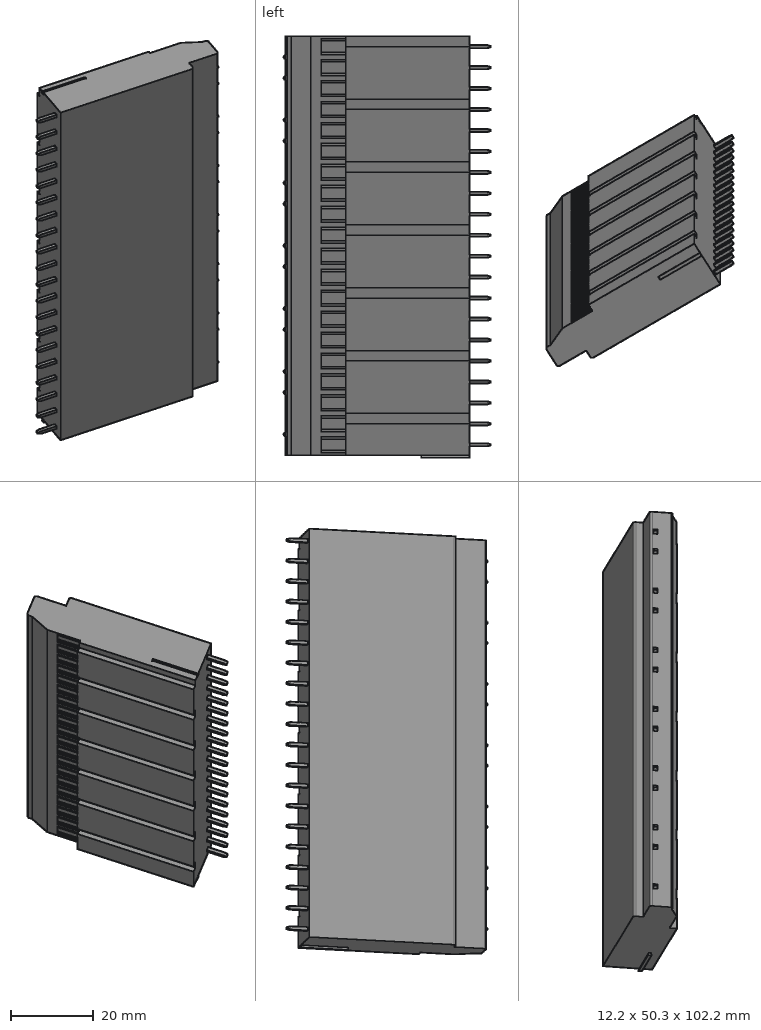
import cadquery as cq


POLE_COUNT = 20
TOTAL_HEIGHT = 102.2
KEY_HEIGHT = 0.6
BODY_HEIGHT = TOTAL_HEIGHT - KEY_HEIGHT
PITCH = BODY_HEIGHT / POLE_COUNT

PIN_LENGTH = 5.1
FRONT_Y = PIN_LENGTH
LENGTH = 50.3
BUMP_HEIGHT = 0.5
BACK_Y = LENGTH - BUMP_HEIGHT
DEPTH = 12.2
PLATE_END_Y = 35.2
WALL_X = 1.8
SLOPE_START_Y = 43.6
SLOPE_END_Y = 48.3
NECK_X = 4.0
BACK_STEP_X = 9.7
BACK_STEP_Y = 41.7
CORNER_RADIUS = 0.6
NECK_CHAMFER = 0.4

POLES_PER_GROUP = 3
GROOVE_DEPTH = 1.2
GROOVE_WIDTH = PITCH / 2

WINDOW_LENGTH = 5.9
WINDOW_MARGIN = 0.6
WINDOW_STEP = 0.56
OUTER_WINDOW_DEPTH = 0.1
INNER_WINDOW_DEPTH = 0.5

KEY_LENGTH = 11.8
KEY_X = 3.0
KEY_NECK_WIDTH = 0.5
KEY_BASE_WIDTH = 0.9

PIN_WIDTH = 0.9
PIN_THICKNESS = 0.8
PIN_X = 9.6
PIN_TIP_LENGTH = 0.8
PIN_TIP_WIDTH = 0.8
PIN_TIP_THICKNESS = 0.3
BUMP_X = 7.9
BUMP_WIDTH = 1.0
BUMP_BASE = 1.2


def box(x, y, z, size_x, size_y, size_z):
    """Box given by its lowest corner and its sizes."""
    return cq.Workplane("XY").box(size_x, size_y, size_z, centered=False).translate((x, y, z))


def make_housing():
    """Extruded cross-section with its back corners eased."""
    outline = [
        (0, FRONT_Y),
        (DEPTH, FRONT_Y),
        (DEPTH, BACK_STEP_Y),
        (BACK_STEP_X, BACK_STEP_Y),
        (BACK_STEP_X, BACK_Y),
        (NECK_X, BACK_Y),
        (NECK_X, SLOPE_END_Y),
        (WALL_X, SLOPE_START_Y),
        (WALL_X, PLATE_END_Y),
        (0, PLATE_END_Y),
    ]
    housing = cq.Workplane("XY").polyline(outline).close().extrude(BODY_HEIGHT)
    for x, y in [(DEPTH, BACK_STEP_Y), (BACK_STEP_X, BACK_Y)]:
        corner = cq.selectors.NearestToPointSelector((x, y, BODY_HEIGHT / 2))
        housing = housing.edges("|Z").edges(corner).fillet(CORNER_RADIUS)
    neck_corner = cq.selectors.NearestToPointSelector((NECK_X, BACK_Y, BODY_HEIGHT / 2))
    return housing.edges("|Z").edges(neck_corner).chamfer(NECK_CHAMFER)


def make_groove(top_z):
    """Groove in the plate, hanging down from top_z."""
    return box(0, FRONT_Y, top_z - GROOVE_WIDTH, GROOVE_DEPTH, PLATE_END_Y - FRONT_Y, GROOVE_WIDTH)


def make_window(pole_z):
    """Stepped window in the pole that starts at pole_z."""
    window = cq.Workplane("XY")
    for margin, depth in [
        (WINDOW_MARGIN, OUTER_WINDOW_DEPTH),
        (WINDOW_MARGIN + WINDOW_STEP, INNER_WINDOW_DEPTH),
    ]:
        window = window.union(
            box(WALL_X, PLATE_END_Y, pole_z + margin, depth, WINDOW_LENGTH, PITCH - 2 * margin)
        )
    return window


def make_key(neck_z):
    """Dovetail bar, narrow at neck_z and wide below; serves as bottom key and top slot."""
    section = [
        (KEY_X - KEY_NECK_WIDTH / 2, neck_z),
        (KEY_X + KEY_NECK_WIDTH / 2, neck_z),
        (KEY_X + KEY_BASE_WIDTH / 2, neck_z - KEY_HEIGHT),
        (KEY_X - KEY_BASE_WIDTH / 2, neck_z - KEY_HEIGHT),
    ]
    front = cq.Workplane("XZ", origin=(0, FRONT_Y, 0))
    return front.polyline(section).close().extrude(-KEY_LENGTH)


def make_pin(center_z):
    """Rectangular pin with a tapered tip."""
    face = cq.Workplane("XZ", origin=(PIN_X, FRONT_Y, center_z))
    shank_length = PIN_LENGTH - PIN_TIP_LENGTH
    shank = face.rect(PIN_WIDTH, PIN_THICKNESS).extrude(shank_length)
    tip = (
        face.workplane(offset=shank_length)
        .rect(PIN_WIDTH, PIN_THICKNESS)
        .workplane(offset=PIN_TIP_LENGTH)
        .rect(PIN_TIP_WIDTH, PIN_TIP_THICKNESS)
        .loft()
    )
    return shank.union(tip)


def make_bump(center_z):
    """Wedge-shaped bump standing on the back face."""
    section = [
        (0, -BUMP_BASE / 2),
        (BUMP_HEIGHT, 0),
        (0, BUMP_BASE / 2),
    ]
    side = cq.Workplane("YZ", origin=(BUMP_X, BACK_Y, center_z))
    return side.polyline(section).close().extrude(BUMP_WIDTH)


result = make_housing()

for pole in range(0, POLE_COUNT, POLES_PER_GROUP):
    result = result.cut(make_groove(BODY_HEIGHT - pole * PITCH))

for pole in range(POLE_COUNT):
    result = result.cut(make_window(pole * PITCH))
    result = result.union(make_pin((pole + 0.5) * PITCH))

for pole in range(1, POLE_COUNT):
    if pole % POLES_PER_GROUP != 0:
        result = result.union(make_bump(BODY_HEIGHT - pole * PITCH))

result = result.cut(make_key(BODY_HEIGHT))
result = result.union(make_key(0))